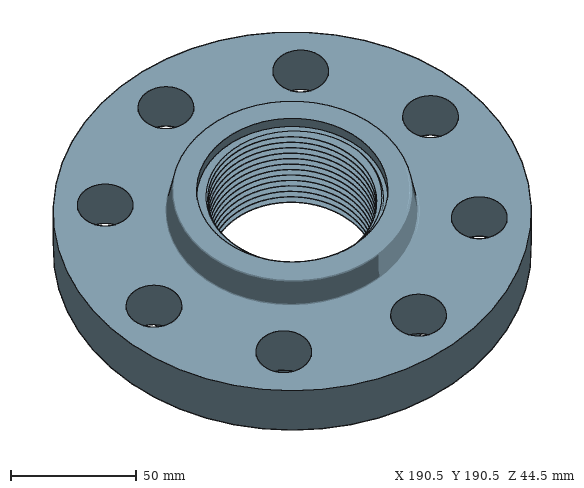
import cadquery as cq
import math

flange_diameter = 190.5
flange_thickness = 23.8
bolt_circle_diameter = 149.2
bolt_hole_diameter = 22.2
bolt_hole_count = 8

raised_face_diameter = 127.0
raised_face_height = 7.92

total_height = 44.51
hub_base_diameter = 100.1
hub_draft_angle = 10.0
hub_base_fillet = 1.2
hub_top_fillet = 1.5

counterbore_diameter = 76.2
counterbore_depth = 4.9

thread_pitch = 25.4 / 8
thread_flank_half_angle = 30.0
thread_taper = 1 / 32
thread_crest_radius = 33.7
thread_crest_flat = 0.1
thread_start_angle = 90.0
thread_overrun_turns = 1
groove_bore_overlap = 0.15

flange_bottom = raised_face_height
flange_top = flange_bottom + flange_thickness
counterbore_floor = total_height - counterbore_depth

hub_base_radius = hub_base_diameter / 2
hub_height = total_height - flange_top
hub_top_radius = hub_base_radius - hub_height * math.tan(math.radians(hub_draft_angle))


def crest_radius_at(z):
    """Radius of the thread crests at height z."""
    return thread_crest_radius - (counterbore_floor - z) * thread_taper


def make_body():
    """Raised face, plate and hub, turned as one solid, with both hub edges rounded."""
    body = (
        cq.Workplane("XZ")
        .moveTo(0, 0)
        .lineTo(raised_face_diameter / 2, 0)
        .lineTo(raised_face_diameter / 2, flange_bottom)
        .lineTo(flange_diameter / 2, flange_bottom)
        .lineTo(flange_diameter / 2, flange_top)
        .lineTo(hub_base_radius, flange_top)
        .lineTo(hub_top_radius, total_height)
        .lineTo(0, total_height)
        .close()
        .revolve(360, (0, 0, 0), (0, 1, 0))
    )
    body = body.faces(">Z").edges().fillet(hub_top_fillet)
    flange_top_face = cq.selectors.NearestToPointSelector((0, 0, flange_top))
    smallest_circle = cq.selectors.RadiusNthSelector(0)
    return body.faces(flange_top_face).edges(smallest_circle).fillet(hub_base_fillet)


def make_bolt_holes():
    return (
        cq.Workplane("XY")
        .polarArray(bolt_circle_diameter / 2, 0, 360, bolt_hole_count)
        .circle(bolt_hole_diameter / 2)
        .extrude(total_height)
    )


def make_bore():
    """Counterbore and the tapered bore that carries the thread crests."""
    return (
        cq.Workplane("XZ")
        .moveTo(0, 0)
        .lineTo(crest_radius_at(0), 0)
        .lineTo(crest_radius_at(counterbore_floor), counterbore_floor)
        .lineTo(counterbore_diameter / 2, counterbore_floor)
        .lineTo(counterbore_diameter / 2, total_height)
        .lineTo(0, total_height)
        .close()
        .revolve(360, (0, 0, 0), (0, 1, 0))
    )


def make_thread_groove():
    """Conical helical V cutter that overruns the threaded bore at both ends."""
    half_width = (thread_pitch - thread_crest_flat) / 2
    depth = half_width / math.tan(math.radians(thread_flank_half_angle))
    turns_below_floor = math.ceil(counterbore_floor / thread_pitch) + thread_overrun_turns
    start_z = counterbore_floor - turns_below_floor * thread_pitch
    end_z = counterbore_floor + thread_overrun_turns * thread_pitch
    start_radius = crest_radius_at(start_z)
    helix = cq.Wire.makeHelix(
        pitch=thread_pitch,
        height=end_z - start_z,
        radius=start_radius,
        center=cq.Vector(0, 0, start_z),
        angle=math.degrees(math.atan(thread_taper)),
    )
    profile = (
        cq.Workplane("XZ")
        .moveTo(start_radius - groove_bore_overlap, start_z - half_width)
        .lineTo(start_radius, start_z - half_width)
        .lineTo(start_radius + depth, start_z)
        .lineTo(start_radius, start_z + half_width)
        .lineTo(start_radius - groove_bore_overlap, start_z + half_width)
        .close()
    )
    groove = profile.sweep(cq.Workplane(helix), isFrenet=True)
    return groove.rotate((0, 0, 0), (0, 0, 1), thread_start_angle)


result = make_body().cut(make_bolt_holes()).cut(make_bore()).cut(make_thread_groove())